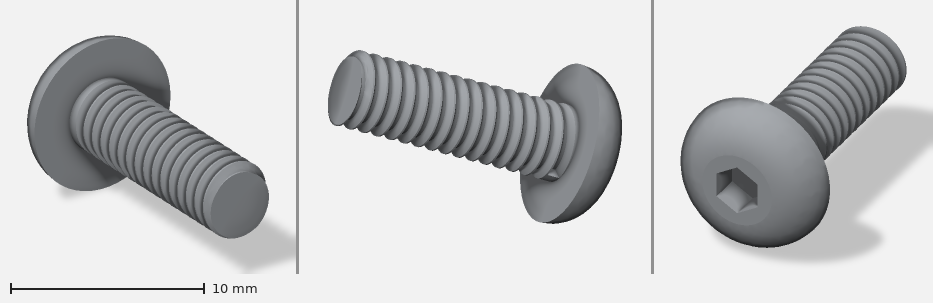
import cadquery as cq
import math

INCH = 25.4

head_diameter = 8.43
head_height = 0.09 * INCH
head_face_diameter = 4.06
socket_across_flats = 3 / 32 * INCH
socket_depth = 1.7
socket_sides = 6

shank_diameter = 4.1
shank_length = 0.5 * INCH
pitch = INCH / 32
flank_angle = math.radians(30)
crest_flat = pitch / 8
root_flat = pitch / 4
head_clearance = 0.02
groove_overshoot = 0.02

shank_radius = shank_diameter / 2
groove_start_x = head_clearance + (pitch - crest_flat) / 2
thread_depth = (pitch - crest_flat - root_flat) / (2 * math.tan(flank_angle))
root_radius = shank_radius - thread_depth


def make_head():
    """Domed head: an arc parallel to the axis at the rim, ending at a flat front face."""
    rim_radius = head_diameter / 2
    face_radius = head_face_diameter / 2
    radial_drop = rim_radius - face_radius
    dome_radius = (head_height**2 + radial_drop**2) / (2 * radial_drop)
    dome_centre = rim_radius - dome_radius
    half_sweep = math.asin(head_height / dome_radius) / 2
    dome_middle = (
        -dome_radius * math.sin(half_sweep),
        dome_centre + dome_radius * math.cos(half_sweep),
    )
    return (
        cq.Workplane("XY")
        .moveTo(0, 0)
        .lineTo(0, rim_radius)
        .threePointArc(dome_middle, (-head_height, face_radius))
        .lineTo(-head_height, 0)
        .close()
        .revolve(360, (0, 0, 0), (1, 0, 0))
    )


def make_shank():
    return cq.Workplane("YZ").circle(shank_radius).extrude(shank_length)


def make_socket():
    """Hexagonal key socket with two corners on the Z direction."""
    across_corners = socket_across_flats / math.cos(math.pi / socket_sides)
    return (
        cq.Workplane("YZ", origin=(-head_height, 0, 0))
        .transformed(rotate=(0, 0, 90))
        .polygon(socket_sides, across_corners)
        .extrude(socket_depth)
    )


def make_thread_groove():
    """Right-hand helical groove, built along Z and then laid along X.

    It starts on the -Z side, close to the head, and runs out through the end of the shank.
    """
    outer_radius = shank_radius + groove_overshoot
    root_half_width = root_flat / 2
    outer_half_width = root_half_width + (outer_radius - root_radius) * math.tan(flank_angle)
    groove_length = shank_length - groove_start_x + pitch / 2

    helix = cq.Wire.makeHelix(pitch, groove_length, root_radius)
    groove = (
        cq.Workplane("XZ")
        .polyline([
            (root_radius, -root_half_width),
            (outer_radius, -outer_half_width),
            (outer_radius, outer_half_width),
            (root_radius, root_half_width),
        ])
        .close()
        .sweep(cq.Workplane(obj=helix), isFrenet=True)
    )
    lay_along_x = cq.Plane((groove_start_x, 0, 0), xDir=(0, 0, -1), normal=(1, 0, 0)).location
    return cq.Workplane(obj=groove.val().moved(lay_along_x))


threaded_shank = make_shank().cut(make_thread_groove())
result = make_head().union(threaded_shank).cut(make_socket())